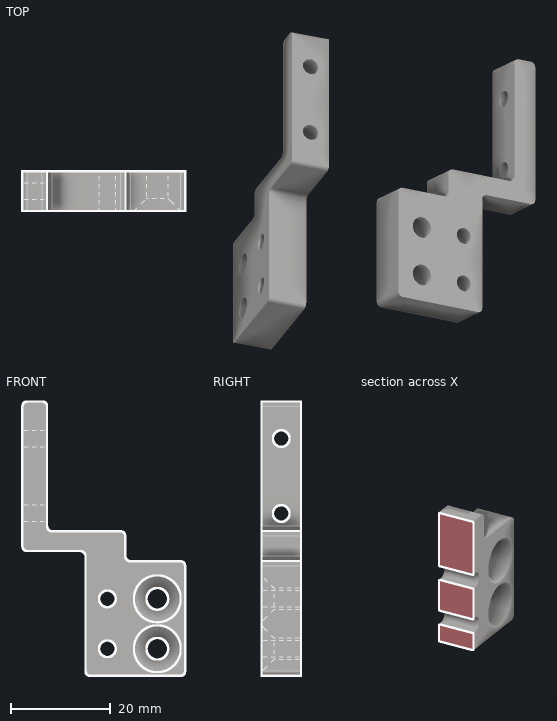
import cadquery as cq

width = 32.65
height = 55.0
thickness = 8.0

arm_width = 5.0
body_width = 20.0
body_height = 23.0
body_left = width - body_width
ledge_bottom = 25.0
ledge_thickness = 4.0
ledge_top = ledge_bottom + ledge_thickness
ledge_overlap = 8.0
ledge_right = body_left + ledge_overlap
corner_radius = 1.0

hole_pitch = 10.0
lower_hole_height = 5.45
plain_hole_inset = 4.4
hole_rows = [lower_hole_height, lower_hole_height + hole_pitch]
plain_column = body_left + plain_hole_inset
screw_column = plain_column + hole_pitch
plain_diameter = 3.3
screw_diameter = 4.3
sink_diameter = 9.4
sink_angle = 90.0

arm_hole_pitch = 15.0
arm_hole_inset = 7.45
arm_hole_top = height - arm_hole_inset
arm_hole_rows = [arm_hole_top, arm_hole_top - arm_hole_pitch]


def make_plate():
    """Stepped plate with every outline corner rounded."""
    outline = [
        (0, ledge_bottom),
        (body_left, ledge_bottom),
        (body_left, 0),
        (width, 0),
        (width, body_height),
        (ledge_right, body_height),
        (ledge_right, ledge_top),
        (arm_width, ledge_top),
        (arm_width, height),
        (0, height),
    ]
    plate = cq.Workplane("XZ").polyline(outline).close().extrude(-thickness)
    return plate.edges("|Y").fillet(corner_radius)


def cut_plain_holes(plate):
    """Column of plain through holes in the body."""
    points = [(plain_column, z) for z in hole_rows]
    drills = cq.Workplane("XZ").pushPoints(points).circle(plain_diameter / 2).extrude(-thickness)
    return plate.cut(drills)


def cut_screw_holes(plate):
    """Column of through holes countersunk from the Y = 0 face."""
    points = [(screw_column, z) for z in hole_rows]
    face = plate.faces("<Y").workplane(origin=(0, 0, 0))
    return face.pushPoints(points).cskHole(screw_diameter, sink_diameter, sink_angle)


def cut_arm_holes(plate):
    """Plain holes along X through the upright arm."""
    points = [(thickness / 2, z) for z in arm_hole_rows]
    drills = cq.Workplane("YZ").pushPoints(points).circle(plain_diameter / 2).extrude(arm_width)
    return plate.cut(drills)


bracket = make_plate()
bracket = cut_plain_holes(bracket)
bracket = cut_screw_holes(bracket)
bracket = cut_arm_holes(bracket)
result = bracket